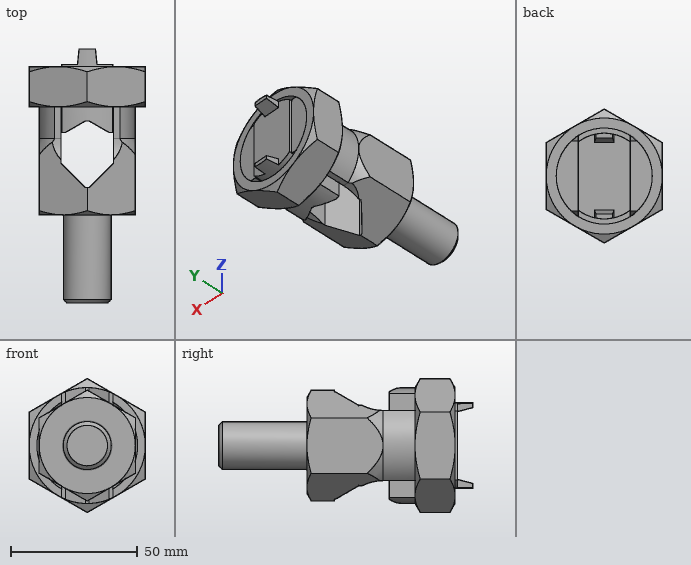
import cadquery as cq
import math


stud_length = 35.0
stud_diameter = 19.05
stud_chamfer = 1.5
stud_root_fillet = 0.25
bolt_across_flats = 38.1
hex_chamfer_angle = 30
shank_diameter = 38.1
shank_start = 30.2
corner_cone_length = 6.3
slot_width = 20.8
slot_tip_y = 10.9
slot_tip_width = 1.5
shank_flat_height = 13.95
flat_runout_radius = 18.0

nut_across_flats = 46.04
nut_front = 42.88
nut_height = 15.9
nut_rear = nut_front + nut_height
thread_countersink_diameter = 40.0

pad_width = 20.4
pad_front = 32.6
pad_head_diameter = 46.0
pad_neck_diameter = 34.0
pad_rear = nut_rear + 0.95
groove_width = 17.4
groove_floor_width = 1.5
groove_angle = 30
tab_end = 65.81
tab_base_width = 7.8
tab_tip_width = 6.6
tab_base_inner_height = 13.4
tab_tip_inner_height = 15.0


def cylinder(diameter, start, end):
    """Cylinder on the Y axis between two Y positions."""
    return cq.Workplane("XZ", origin=(0, start, 0)).circle(diameter / 2).extrude(start - end)


def corner_radius(across_flats):
    """Distance from the axis to the corners of a hexagon."""
    return across_flats / 2 / math.cos(math.radians(30))


def hexagon(across_flats, start, end):
    """Hexagonal prism on the Y axis, with corners up and down."""
    corner_diameter = 2 * corner_radius(across_flats)
    prism = cq.Workplane("XZ", origin=(0, start, 0)).polygon(6, corner_diameter).extrude(start - end)
    return prism.rotate((0, 0, 0), (0, 1, 0), 90)


def turned(profile):
    """Solid turned about the Y axis from (radius, y) points."""
    return cq.Workplane("XY").polyline(profile).close().revolve(360, (0, 0, 0), (0, 1, 0))


def corner_drop(across_flats):
    """Length along Y of the chamfer at the corners of a hexagon."""
    rise = corner_radius(across_flats) - across_flats / 2
    return rise * math.tan(math.radians(hex_chamfer_angle))


def prism_along_z(outline, height):
    """Prism along Z, centred on Z = 0, from an XY outline."""
    return cq.Workplane("XY").polyline(outline).close().extrude(height / 2, both=True)


def make_slot(end):
    """Cable slot: parallel walls that close to a 45 degree V at the front."""
    half = slot_width / 2
    tip = slot_tip_width / 2
    wall_start = slot_tip_y + half - tip
    outline = [
        (-tip, slot_tip_y),
        (tip, slot_tip_y),
        (half, wall_start),
        (half, end),
        (-half, end),
        (-half, wall_start),
    ]
    return prism_along_z(outline, 2 * corner_radius(bolt_across_flats))


def make_shank_flat_cut(end):
    """Removes the shank above the upper flat; the flat runs out in an arc toward the hexagon."""
    runout_y = shank_start - flat_runout_radius
    runout_z = shank_flat_height + flat_runout_radius
    half_root = flat_runout_radius * math.sqrt(0.5)
    return (
        cq.Workplane("YZ")
        .moveTo(end, shank_flat_height)
        .lineTo(shank_start, shank_flat_height)
        .threePointArc((shank_start - half_root, runout_z - half_root), (runout_y, runout_z))
        .lineTo(end, runout_z)
        .close()
        .extrude(bolt_across_flats / 2, both=True)
    )


def make_stud_root():
    """Collar with the concave fillet between the stud and the front face of the hexagon."""
    radius = stud_diameter / 2
    fillet = stud_root_fillet
    arc_offset = fillet * (1 - math.sqrt(0.5))
    return (
        cq.Workplane("XY")
        .lineTo(radius + fillet, 0)
        .threePointArc((radius + arc_offset, -arc_offset), (radius, -fillet))
        .lineTo(0, -fillet)
        .close()
        .revolve(360, (0, 0, 0), (0, 1, 0))
    )


def make_bolt():
    shank_radius = shank_diameter / 2
    flat_radius = bolt_across_flats / 2
    corner = corner_radius(bolt_across_flats)
    envelope = turned([
        (0, 0),
        (flat_radius, 0),
        (corner, corner_drop(bolt_across_flats)),
        (corner, shank_start - corner_cone_length),
        (shank_radius, shank_start),
        (0, shank_start),
    ])
    head = hexagon(bolt_across_flats, 0, shank_start).intersect(envelope)
    shank = cylinder(shank_diameter, shank_start, nut_rear)
    stud = cylinder(stud_diameter, -stud_length, 0).faces("<Y").chamfer(stud_chamfer)
    flat_cut = make_shank_flat_cut(nut_rear)
    return (
        head.union(shank)
        .union(stud)
        .union(make_stud_root())
        .cut(make_slot(nut_rear))
        .cut(flat_cut)
        .cut(flat_cut.mirror("XY"))
    )


def make_nut():
    flat_radius = nut_across_flats / 2
    corner = corner_radius(nut_across_flats)
    drop = corner_drop(nut_across_flats)
    envelope = turned([
        (0, nut_front),
        (flat_radius, nut_front),
        (corner, nut_front + drop),
        (corner, nut_rear - drop),
        (flat_radius, nut_rear),
        (0, nut_rear),
    ])
    thread_radius = shank_diameter / 2
    countersink_radius = thread_countersink_diameter / 2
    bore = turned([
        (0, nut_front),
        (countersink_radius, nut_front),
        (thread_radius, nut_front + countersink_radius - thread_radius),
        (thread_radius, nut_rear),
        (0, nut_rear),
    ])
    return hexagon(nut_across_flats, nut_front, nut_rear).intersect(envelope).cut(bore)


def make_tab():
    """Upper tab behind the nut: round outside, sloping inside, narrower toward its end."""
    base = tab_base_width / 2
    tip = tab_tip_width / 2
    sides = prism_along_z(
        [(-base, pad_rear), (base, pad_rear), (tip, tab_end), (-tip, tab_end)],
        pad_neck_diameter,
    )
    thickness = (
        cq.Workplane("YZ")
        .moveTo(pad_rear, tab_base_inner_height)
        .lineTo(tab_end, tab_tip_inner_height)
        .lineTo(tab_end, pad_neck_diameter / 2)
        .lineTo(pad_rear, pad_neck_diameter / 2)
        .close()
        .extrude(base, both=True)
    )
    return cylinder(pad_neck_diameter, pad_rear, tab_end).intersect(sides).intersect(thickness)


def make_pad():
    groove_half = groove_width / 2
    floor_half = groove_floor_width / 2
    groove_floor_y = pad_front + (groove_half - floor_half) * math.tan(math.radians(groove_angle))
    groove = prism_along_z(
        [
            (-groove_half, pad_front),
            (-floor_half, groove_floor_y),
            (floor_half, groove_floor_y),
            (groove_half, pad_front),
        ],
        pad_head_diameter,
    )
    width_limit = cq.Workplane("XY").box(pad_width, 2 * tab_end, pad_head_diameter)
    head = cylinder(pad_head_diameter, pad_front, nut_front).cut(groove)
    neck = cylinder(pad_neck_diameter, nut_front, pad_rear)
    tab = make_tab()
    return head.union(neck).intersect(width_limit).union(tab).union(tab.mirror("XY"))


bolt = make_bolt()
nut = make_nut()
pad = make_pad()

result = cq.Compound.makeCompound([bolt.solids().val(), nut.solids().val(), pad.solids().val()])